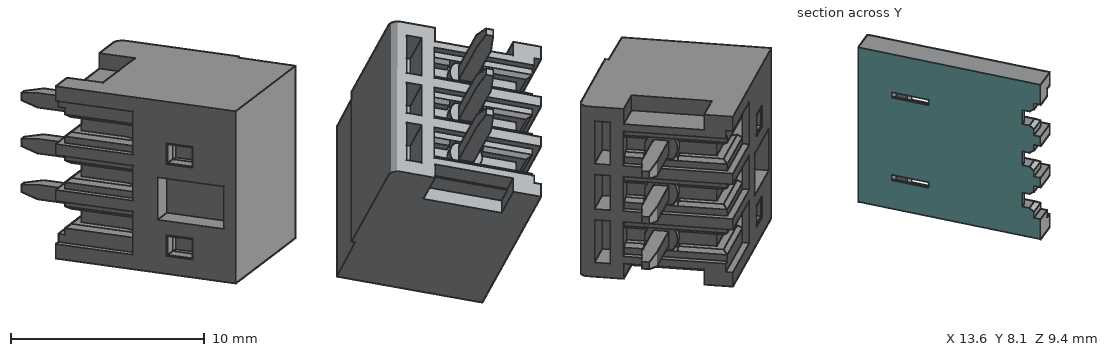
import cadquery as cq


overall_length = 13.6
body_length = 10.1
body_width = 8.1
body_height = 9.4
edge_radius = 0.5
rear_step_start = 6.85
rear_step_near = 0.19
rear_step_far = 0.23

pole_pitch = 2.5
poles = (-1, 0, 1)

slot_half_height = 0.95
slot_depth = 0.37
slot_length_x = 4.32
slot_length_y = 5.78
end_slot_reach = 3.9
lip_half_height = 0.6
lip_bevel_height = 0.19
lip_bevel_depth = 0.25
groove_half_height = lip_half_height - lip_bevel_height
bevel_end = slot_depth + lip_bevel_depth
groove_depth_x = 1.0
groove_depth_y = 1.05
groove_end_radius = 0.91

pin_center_y = 3.89
pin_size = 0.8
pin_tip_size = 0.4
pin_projection = overall_length - body_length
pin_taper_length = 1.0
boss_radius = 0.87
boss_start = 0.55
boss_pocket_half_width = 0.9

side_window_y = 6.46
side_window_width = 0.82
side_window_depth = 2.0

notch_length = 2.01
notch_y = 1.51
notch_width = 4.23
notch_depth = 0.85
notch_ledge_height = 0.08
notch_ledge_length = notch_length / 2

window_center_z = -0.65
label_window_x = 5.73
label_window_length = 3.7
label_window_height = 2.31
window_depth = 1.21
latch_spacing = 5.0
latch_x = 6.22
latch_length = 1.47
latch_height = 1.13
latch_rim = 0.05
latch_wall = 0.71
latch_undercut = 0.55
latch_floor_drop = 0.07
latch_step_depth = 0.2
latch_step_height = 0.35


def block(x0, x1, y0, y1, z0, z1):
    """Axis-aligned box between two corners."""
    return cq.Workplane("XY").box(x1 - x0, y1 - y0, z1 - z0, centered=False).translate((x0, y0, z0))


def slot_range(pole):
    """Z range at one pole; the outer poles reach further towards the ends."""
    center = pole * pole_pitch
    low = -end_slot_reach if pole == min(poles) else center - slot_half_height
    high = end_slot_reach if pole == max(poles) else center + slot_half_height
    return low, high


def housing():
    half = body_height / 2
    return (
        cq.Workplane("XY", origin=(0, 0, -half))
        .lineTo(body_length, 0)
        .lineTo(body_length, body_width - rear_step_far)
        .lineTo(rear_step_start, body_width - rear_step_near)
        .lineTo(rear_step_start, body_width)
        .lineTo(edge_radius, body_width)
        .radiusArc((0, body_width - edge_radius), -edge_radius)
        .close()
        .extrude(body_height)
    )


def groove_prism(half_height):
    """L-shaped groove, rounded where it runs out along X."""
    tangent_x = slot_length_x - groove_end_radius
    arc_end_y = groove_depth_y - groove_end_radius
    return (
        cq.Workplane("XY", origin=(0, 0, -half_height))
        .lineTo(slot_length_x, 0)
        .lineTo(slot_length_x, arc_end_y)
        .radiusArc((tangent_x, groove_depth_y), -groove_end_radius)
        .lineTo(groove_depth_x, groove_depth_y)
        .lineTo(groove_depth_x, slot_length_y)
        .lineTo(0, slot_length_y)
        .close()
        .extrude(2 * half_height)
    )


def lip_profile(plane):
    """Bevelled throat of the groove, as depth against Z, on the given plane."""
    return (
        cq.Workplane(plane)
        .moveTo(slot_depth, -lip_half_height)
        .lineTo(bevel_end, -groove_half_height)
        .lineTo(bevel_end, groove_half_height)
        .lineTo(slot_depth, lip_half_height)
        .close()
    )


def contact_groove(pole):
    """Everything removed around one pole."""
    low, high = slot_range(pole)
    center = pole * pole_pitch
    bevel_x = lip_profile("XZ").extrude(-slot_length_y)
    bevel_y = lip_profile("YZ").extrude(slot_length_x)
    inner = groove_prism(lip_half_height).intersect(bevel_x.union(bevel_y))
    inner = inner.union(groove_prism(groove_half_height))
    boss_pocket = block(
        0, groove_depth_x,
        pin_center_y - boss_pocket_half_width, pin_center_y + boss_pocket_half_width,
        -lip_half_height, lip_half_height,
    )
    pin_side = block(
        0, slot_depth, 0, slot_length_y,
        center - slot_half_height, center + slot_half_height,
    )
    groove_side = block(0, slot_length_x, 0, slot_depth, low, high)
    return inner.union(boss_pocket).translate((0, 0, center)).union(pin_side).union(groove_side)


def pin(pole):
    """Square pin with a tapered tip, standing on a boss trimmed to the groove height."""
    center = (pin_center_y, pole * pole_pitch)
    boss = (
        cq.Workplane("YZ", origin=(boss_start, *center))
        .circle(boss_radius)
        .extrude(groove_depth_x - boss_start)
    )
    trim = block(
        0, groove_depth_x, 0, body_width,
        center[1] - lip_half_height, center[1] + lip_half_height,
    )
    taper_start = pin_taper_length - pin_projection
    shaft = (
        cq.Workplane("YZ", origin=(taper_start, *center))
        .rect(pin_size, pin_size)
        .extrude(groove_depth_x - taper_start)
    )
    tip = (
        cq.Workplane("YZ", origin=(-pin_projection, *center))
        .rect(pin_tip_size, pin_tip_size)
        .workplane(offset=pin_taper_length)
        .rect(pin_size, pin_size)
        .loft(ruled=True)
    )
    return boss.intersect(trim).union(shaft).union(tip)


def side_window(pole):
    low, high = slot_range(pole)
    return block(0, side_window_depth, side_window_y, side_window_y + side_window_width, low, high)


def end_notch(side):
    """Corner notch at the top (side = 1) or bottom (side = -1); the bottom one keeps a small ledge."""
    outer = side * body_height / 2
    floor = outer - side * notch_depth
    far_y = notch_y + notch_width
    notch = block(0, notch_length, notch_y, far_y, min(outer, floor), max(outer, floor))
    if side < 0:
        ledge_start = notch_length - notch_ledge_length
        ledge = block(ledge_start, notch_length, notch_y, far_y, floor - notch_ledge_height, floor)
        notch = notch.cut(ledge)
    return notch


def label_window():
    half = label_window_height / 2
    return block(
        label_window_x, label_window_x + label_window_length, 0, window_depth,
        window_center_z - half, window_center_z + half,
    )


def latch_window(side):
    """Rimmed window through the outer wall into a wider recess with a stepped back."""
    center = window_center_z + side * latch_spacing / 2
    low = center - latch_height / 2
    high = center + latch_height / 2
    far_x = latch_x + latch_length
    rim = block(latch_x, far_x, 0, latch_rim, low, high)
    inner_low = low + latch_rim
    inner_high = high - latch_rim
    opening = block(latch_x + latch_rim, far_x - latch_rim, 0, latch_wall, inner_low, inner_high)
    recess = block(
        latch_x, far_x + latch_undercut, latch_wall, window_depth,
        inner_low - latch_floor_drop, inner_high,
    )
    back_step = block(
        latch_x, far_x + latch_undercut, window_depth, window_depth + latch_step_depth,
        high - latch_step_height, inner_high,
    )
    return rim.union(opening).union(recess).union(back_step)


result = housing()
for pole in poles:
    result = result.cut(contact_groove(pole)).cut(side_window(pole))
for side in (-1, 1):
    result = result.cut(end_notch(side)).cut(latch_window(side))
result = result.cut(label_window())
for pole in poles:
    result = result.union(pin(pole))